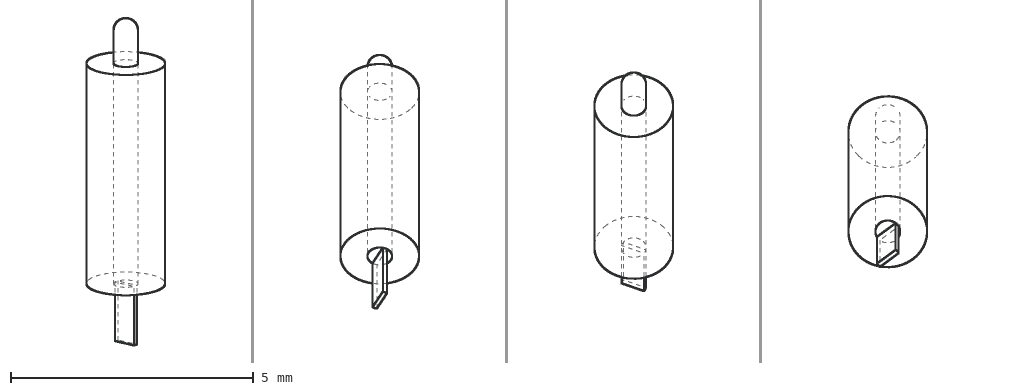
import cadquery as cq

total_length = 6.99
housing_diameter = 1.63
housing_length = 4.75
pin_diameter = 0.51
tail_length = 1.27
tail_thickness = 0.1

housing_radius = housing_diameter / 2
pin_radius = pin_diameter / 2
dome_base_z = total_length - pin_radius


def make_housing():
    """Cylindrical sleeve with a through bore that fits the pin."""
    return (
        cq.Workplane("XY")
        .workplane(offset=tail_length)
        .circle(housing_radius)
        .circle(pin_radius)
        .extrude(housing_length)
    )


def make_pin():
    """Round pin with a domed tip, flattened to a thin blade below the housing."""
    dome = (
        cq.Workplane("XY")
        .sphere(pin_radius)
        .translate((0, 0, dome_base_z))
    )
    round_pin = cq.Workplane("XY").circle(pin_radius).extrude(dome_base_z).union(dome)

    blade = cq.Workplane("XY").rect(pin_diameter, tail_thickness).extrude(tail_length)
    removed = (
        cq.Workplane("XY")
        .rect(pin_diameter, pin_diameter)
        .extrude(tail_length)
        .cut(blade)
    )
    return round_pin.cut(removed)


housing = make_housing()
pin = make_pin()

result = cq.Compound.makeCompound([housing.val(), *pin.solids().vals()])